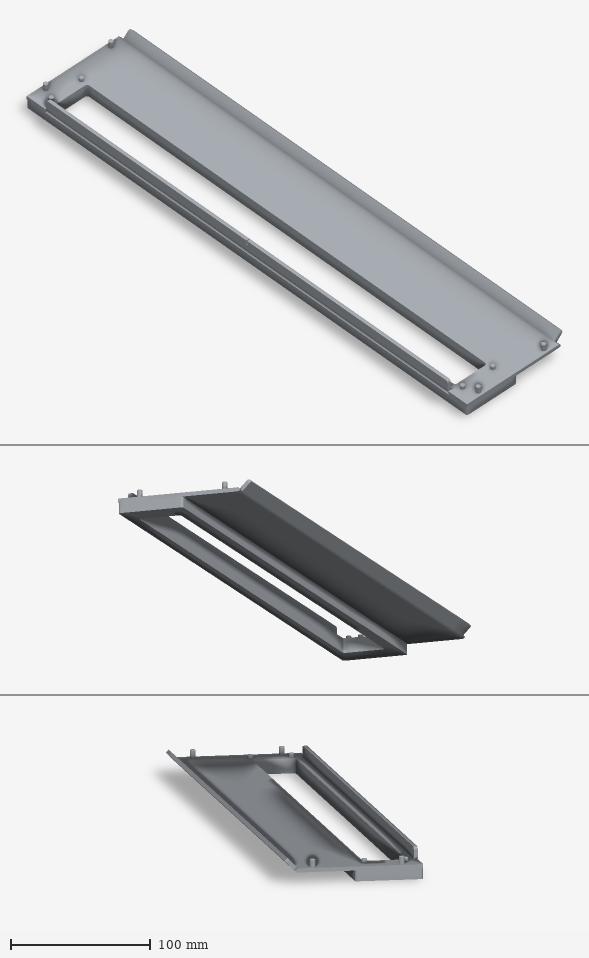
import cadquery as cq
import math

length = 455.0
depth = 100.0
height = 20.0

sheet = 3.0
bend_inner = 1.0
bend_outer = bend_inner + sheet
flange_rise = 9.0
panel_bottom = height - flange_rise - sheet
panel_top = panel_bottom + sheet

flange_inset = 20.0
flange_corner_radius = 2.5
relief_width = 0.7
relief_depth = 5.5
notch_width = 1.0
notch_depth = 3.5

lip_angle = 45.0
lip_inset = 4.5
lip_height = 17.7
lip_corner_radius = 2.0

frame_depth = 49.5
frame_corner_radius = 2.0
window_side_margin = 21.0
window_front = 8.0
window_back = 40.0
window_corner_radius = 2.5

stud_diameter = 4.0
tall_stud_height = 6.0
short_stud_height = 3.0
stud_chamfer = 0.5
tall_stud_x = length / 2 - 4.0
tall_stud_rows = (15.0, 80.0)
short_stud_x = length / 2 - 15.0
short_stud_rows = (10.0, 40.0)


def block(x0, x1, y0, y1, z0, z1):
    """Box given by its limits along each axis."""
    return cq.Workplane("XY").box(x1 - x0, y1 - y0, z1 - z0, centered=False).translate((x0, y0, z0))


def extrude_along_x(profile, width):
    """Extrude a closed YZ profile to a width centred on X = 0."""
    return profile.extrude(width / 2, both=True)


def make_window():
    """Rounded cutter for the opening through panel and frame."""
    half = length / 2 - window_side_margin
    return block(-half, half, window_front, window_back, 0, height).edges("|Z").fillet(window_corner_radius)


slope = math.radians(lip_angle)
lip_low_edge = lip_height - sheet * math.cos(slope)
lip_bend_corner = depth - (lip_low_edge - panel_bottom) / math.tan(slope)
lip_bend_start = lip_bend_corner - bend_outer * math.tan(slope / 2)

flange_half = length / 2 - flange_inset


def make_flat_panel():
    """Flat plate up to the rear bend, cut back in front for the flange bend and its reliefs."""
    half = length / 2
    flat = block(-half, half, 0, lip_bend_start, panel_bottom, panel_top)
    flat = flat.cut(block(-flange_half, flange_half, 0, bend_outer, panel_bottom, panel_top))
    relief = block(flange_half, flange_half + relief_width, 0, relief_depth, panel_bottom, panel_top)
    return flat.cut(relief).cut(relief.mirror("YZ"))


def make_flange():
    """Front flange with its bend, rounded top corners and a notch at mid-length."""
    bend_y = bend_outer
    bend_z = panel_bottom + bend_outer

    def on_bend(radius, angle):
        return (bend_y - radius * math.sin(angle), bend_z - radius * math.cos(angle))

    quarter = math.pi / 2
    profile = (
        cq.Workplane("YZ")
        .moveTo(*on_bend(bend_outer, 0))
        .threePointArc(on_bend(bend_outer, quarter / 2), on_bend(bend_outer, quarter))
        .lineTo(0, height)
        .lineTo(sheet, height)
        .lineTo(*on_bend(bend_inner, quarter))
        .threePointArc(on_bend(bend_inner, quarter / 2), on_bend(bend_inner, 0))
        .close()
    )
    flange = extrude_along_x(profile, 2 * flange_half)
    top_corners = flange.faces(">Z").edges("|Y")
    flange = top_corners.fillet(flange_corner_radius)
    notch = block(-notch_width / 2, notch_width / 2, 0, sheet, height - notch_depth, height)
    return flange.cut(notch)


def make_lip():
    """Full-width rear bend, and the slightly shorter sloping lip that continues it."""
    bend_z = panel_bottom + bend_outer

    def on_bend(radius, angle):
        return (lip_bend_start + radius * math.sin(angle), bend_z - radius * math.cos(angle))

    bend_profile = (
        cq.Workplane("YZ")
        .moveTo(*on_bend(bend_outer, 0))
        .threePointArc(on_bend(bend_outer, slope / 2), on_bend(bend_outer, slope))
        .lineTo(*on_bend(bend_inner, slope))
        .threePointArc(on_bend(bend_inner, slope / 2), on_bend(bend_inner, 0))
        .close()
    )
    lip_profile = cq.Workplane("YZ").polyline([
        on_bend(bend_outer, slope),
        (depth, lip_low_edge),
        (depth - sheet * math.sin(slope), lip_height),
        on_bend(bend_inner, slope),
    ]).close()
    lip = extrude_along_x(lip_profile, length - 2 * lip_inset)
    free_corners = lip.edges("not |X").edges(">Y")
    lip = free_corners.fillet(lip_corner_radius)
    return extrude_along_x(bend_profile, length).union(lip)


def make_panel():
    """Bent sheet: flat panel, front flange and rear lip."""
    return make_flat_panel().union(make_flange()).union(make_lip()).cut(make_window())


def make_frame():
    """Rectangular frame below the panel, around the window."""
    half = length / 2
    frame = block(-half, half, 0, frame_depth, 0, panel_bottom)
    return frame.edges("|Z").fillet(frame_corner_radius).cut(make_window())


def make_stud(x, y, stud_height):
    """Cylindrical stud with a chamfered tip, standing on the panel."""
    stud = cq.Workplane("XY", origin=(x, y, panel_top)).circle(stud_diameter / 2).extrude(stud_height)
    return stud.faces(">Z").chamfer(stud_chamfer)


panel = make_panel()
frame = make_frame()
studs = []
for side in (-1, 1):
    for row in tall_stud_rows:
        studs.append(make_stud(side * tall_stud_x, row, tall_stud_height).val())
    for row in short_stud_rows:
        studs.append(make_stud(side * short_stud_x, row, short_stud_height).val())

result = cq.Compound.makeCompound([panel.val(), frame.val(), *studs])